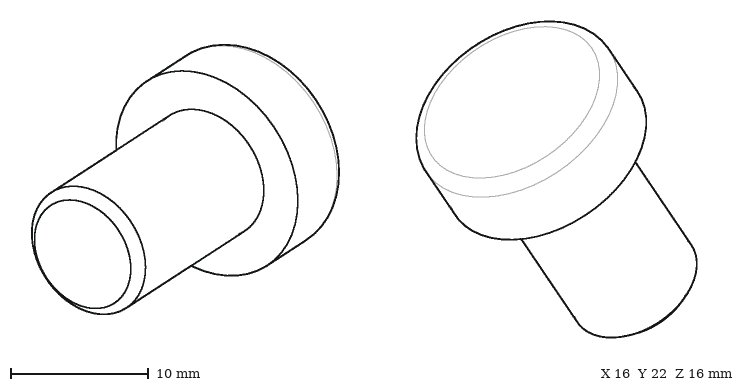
import cadquery as cq

total_length = 22.0
head_diameter = 16.0
head_height = 6.0
head_edge_radius = 1.0
shank_diameter = 10.0
shank_chamfer = 0.77
shank_length = total_length - head_height


def cylinder_along_y(diameter, length):
    """Cylinder from the XZ plane towards +Y."""
    return cq.Workplane("XZ").circle(diameter / 2).extrude(-length)


head = cylinder_along_y(head_diameter, head_height).faces(">Y").edges().fillet(head_edge_radius)

shank = cylinder_along_y(shank_diameter, shank_length).translate((0, -shank_length, 0))
shank = shank.faces("<Y").edges().chamfer(shank_chamfer)

result = head.union(shank)